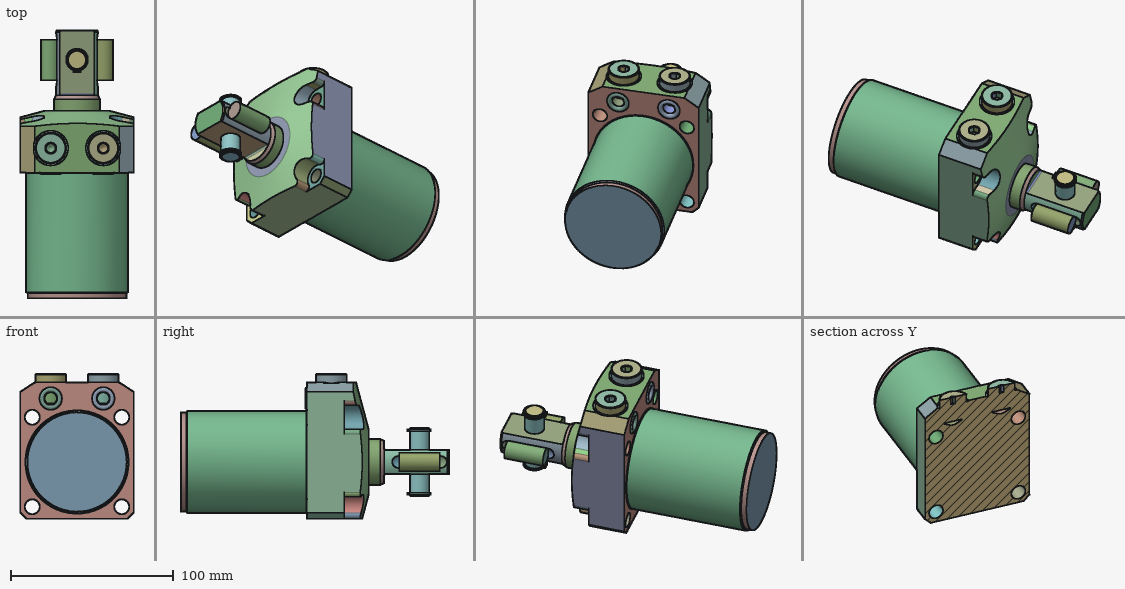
import cadquery as cq
import math


overall_length = 164.8

body_width = 70.0
body_height = 84.0
body_bottom = -body_width / 2
body_top = body_bottom + body_height
top_chamfer_width = 9.0
top_chamfer_height = 6.0
bottom_chamfer = 4.0

nose_y = 38.0
nose_radius = 19.8
nose_angle = 15.0

barrel_diameter = 63.0
barrel_length = 77.5
barrel_chamfer = 0.7
end_step_diameter = 61.0
end_step_length = 3.3
root_diameter = 63.6
root_length = 0.5

mount_offset = 27.5
mount_hole_diameter = 9.0
pocket_radius = body_width / 2 - mount_offset
pocket_floor_y = 23.0
pocket_mouth_radius = 2.6

port_x = 16.1
plug_y = 15.0
plug_head_diameter = 19.0
plug_head_height = 5.1
plug_chamfer = 0.5
plug_stem_length = 13.0
plug_stem_diameter = 13.2
spotface_diameter = 21.4
spotface_depth = 0.5
socket_width = 6.0
socket_chamfer = 0.5
socket_depth = 5.0
drill_point_angle = 120.0
port_z = 39.0
port_diameter = 8.2
ring_radius = 5.5
ring_section_radius = 1.6
ring_projection = 1.0

rod_radius = 13.0
rod_tip_y = overall_length - barrel_length
collar_radius = 14.2
collar_end_y = 45.0
shoulder_y = 47.5
flat_thickness = 15.0
flat_root_radius = 1.0
tip_chamfer_length = 1.0
tip_chamfer_depth = 0.5

pin_y = 69.2
pin_diameter = 12.0
pin_length = 42.0
pin_chamfer = 0.5
clip_radius = 6.8
clip_eccentricity = 0.2
clip_thickness = 1.0
clip_edge = 1.0
ear_width = 4.5
ear_reach = 7.5
ear_gap = 1.0
ear_hole_diameter = 0.8
ear_hole_x = 1.3
ear_hole_y = -6.8

roll_radius = 5.6
roll_x = 16.6
roll_length = 25.0


def cylinder_y(radius, y_start, y_end, x=0.0, z=0.0):
    """Cylinder along Y between two Y positions."""
    start = cq.Vector(x, y_start, z)
    return cq.Workplane(cq.Solid.makeCylinder(radius, y_end - y_start, start, cq.Vector(0, 1, 0)))


def cylinder_z(radius, z_start, z_end, x=0.0, y=0.0):
    """Cylinder along Z between two Z positions."""
    return cq.Workplane(cq.Solid.makeCylinder(radius, z_end - z_start, cq.Vector(x, y, z_start)))


def revolve_y(profile):
    """Solid of revolution about Y from (radius, y) points."""
    return cq.Workplane("XY").polyline(profile).close().revolve(360, (0, 0, 0), (0, 1, 0))


def extrude_y(points, y_start, y_end):
    """Prism along Y from (x, z) points."""
    plane = cq.Workplane("XZ", origin=(0, y_start, 0))
    return plane.polyline(points).close().extrude(y_start - y_end)


def make_block():
    """Chamfered block whose +Y end is turned to a flat-topped cone."""
    half = body_width / 2
    outline = [
        (-half + bottom_chamfer, body_bottom),
        (half - bottom_chamfer, body_bottom),
        (half, body_bottom + bottom_chamfer),
        (half, body_top - top_chamfer_height),
        (half - top_chamfer_width, body_top),
        (-half + top_chamfer_width, body_top),
        (-half, body_top - top_chamfer_height),
        (-half, body_bottom + bottom_chamfer),
    ]
    block = extrude_y(outline, 0, nose_y)
    reach = math.hypot(half, body_top)
    rim_y = nose_y - (reach - nose_radius) * math.tan(math.radians(nose_angle))
    envelope = revolve_y([(0, 0), (reach, 0), (reach, rim_y), (nose_radius, nose_y), (0, nose_y)])
    return block.intersect(envelope)


def make_barrel():
    """Barrel with a slight flare at its root and a stepped far end."""
    radius = barrel_diameter / 2
    end_radius = end_step_diameter / 2
    step_y = end_step_length - barrel_length
    return revolve_y([
        (0, -barrel_length),
        (end_radius, -barrel_length),
        (end_radius, step_y),
        (radius, step_y + barrel_chamfer),
        (radius, -root_length),
        (root_diameter / 2, 0),
        (0, 0),
    ])


def upper_pocket():
    """Slot that opens to the -X side with rounded mouth edges."""
    side = -body_width / 2
    mouth = pocket_radius + pocket_mouth_radius
    bend = pocket_mouth_radius * (1 - math.sqrt(0.5))
    return (
        cq.Workplane("XZ", origin=(0, pocket_floor_y, 0))
        .moveTo(side, mount_offset + mouth)
        .threePointArc(
            (side + bend, mount_offset + pocket_radius + bend),
            (side + pocket_mouth_radius, mount_offset + pocket_radius),
        )
        .lineTo(-mount_offset, mount_offset + pocket_radius)
        .threePointArc(
            (-mount_offset + pocket_radius, mount_offset),
            (-mount_offset, mount_offset - pocket_radius),
        )
        .lineTo(side + pocket_mouth_radius, mount_offset - pocket_radius)
        .threePointArc(
            (side + bend, mount_offset - pocket_radius - bend),
            (side, mount_offset - mouth),
        )
        .close()
        .extrude(pocket_floor_y - nose_y)
    )


def lower_pocket():
    """Round pocket that opens across the -X -Z corner, with rounded edges to both sides."""
    side = -body_width / 2
    spacing = pocket_radius + pocket_mouth_radius
    round_x = side + pocket_mouth_radius
    round_z = -mount_offset + math.sqrt(spacing**2 - (mount_offset + round_x) ** 2)
    touch_share = pocket_radius / spacing
    touch_x = -mount_offset + touch_share * (round_x + mount_offset)
    touch_z = -mount_offset + touch_share * (round_z + mount_offset)
    middle_x = (side + touch_x) / 2 - round_x
    middle_z = (round_z + touch_z) / 2 - round_z
    stretch = pocket_mouth_radius / math.hypot(middle_x, middle_z)
    middle_x = round_x + stretch * middle_x
    middle_z = round_z + stretch * middle_z
    inner = -mount_offset + pocket_radius * math.sqrt(0.5)
    return (
        cq.Workplane("XZ", origin=(0, pocket_floor_y, 0))
        .moveTo(side, round_z)
        .threePointArc((middle_x, middle_z), (touch_x, touch_z))
        .threePointArc((inner, inner), (touch_z, touch_x))
        .threePointArc((middle_z, middle_x), (round_z, side))
        .lineTo(side, side)
        .close()
        .extrude(pocket_floor_y - nose_y)
    )


def make_plug(x):
    """Screw plug with a chamfered hexagon socket over a drilled core."""
    top = body_top + plug_head_height
    head = cylinder_z(plug_head_diameter / 2, body_top - spotface_depth, top, x, plug_y)
    head = head.faces(">Z").chamfer(plug_chamfer)
    stem = cylinder_z(plug_stem_diameter / 2, body_top - plug_stem_length, body_top, x, plug_y)
    half_sector = 180 / 6
    corner_diameter = socket_width / math.cos(math.radians(half_sector))
    hexagon = (
        cq.Workplane("XY")
        .polygon(6, corner_diameter)
        .extrude(-socket_depth)
        .rotate((0, 0, 0), (0, 0, 1), half_sector)
        .translate((x, plug_y, top))
    )
    core = drilled_hole(socket_width / 2, top, socket_depth, x)
    rim_radius = socket_width / 2 + socket_chamfer
    rim_base = cq.Vector(x, plug_y, top - socket_chamfer)
    rim = cq.Solid.makeCone(socket_width / 2, rim_radius, socket_chamfer, rim_base)
    return head.union(stem).cut(hexagon).cut(core).cut(cq.Workplane(rim))


def drilled_hole(radius, top, depth, x):
    """Hole along -Z on the axis of a screw plug, ending in a drill point."""
    point = radius / math.tan(math.radians(drill_point_angle / 2))
    profile = [(0, top), (radius, top), (radius, top - depth), (0, top - depth - point)]
    hole = cq.Workplane("XZ").polyline(profile).close().revolve(360, (0, 0, 0), (0, 1, 0))
    return hole.translate((x, plug_y, 0))


def make_housing():
    """Block, barrel, screw plugs and O-rings as one body."""
    housing = make_block().union(make_barrel())
    pockets = upper_pocket().union(lower_pocket())
    housing = housing.cut(pockets).cut(pockets.mirror("YZ"))
    for x in (-mount_offset, mount_offset):
        for z in (-mount_offset, mount_offset):
            housing = housing.cut(cylinder_y(mount_hole_diameter / 2, 0, nose_y, x, z))
    for x in (-port_x, port_x):
        spotface = cylinder_z(spotface_diameter / 2, body_top - spotface_depth, body_top, x, plug_y)
        bore = drilled_hole(plug_stem_diameter / 2, body_top, plug_stem_length, x)
        port = cylinder_y(port_diameter / 2, 0, plug_y, x, port_z)
        ring_centre = cq.Vector(x, ring_section_radius - ring_projection, port_z)
        ring = cq.Solid.makeTorus(ring_radius, ring_section_radius, ring_centre, cq.Vector(0, 1, 0))
        housing = housing.cut(spotface).cut(bore).cut(port).union(cq.Workplane(ring)).union(make_plug(x))
    return housing


def make_rod():
    """Piston rod with a flattened head, round-ended roll seats and the cross pin hole."""
    rod = revolve_y([
        (0, nose_y),
        (collar_radius, nose_y),
        (collar_radius, collar_end_y),
        (rod_radius, shoulder_y),
        (rod_radius, rod_tip_y - tip_chamfer_length),
        (rod_radius - tip_chamfer_depth, rod_tip_y),
        (0, rod_tip_y),
    ])
    flat_length = rod_tip_y - shoulder_y
    cutter = (
        cq.Workplane("XY")
        .box(4 * rod_radius, 2 * flat_length, rod_radius, centered=(True, False, False))
        .edges("|X and <Y and <Z")
        .fillet(flat_root_radius)
        .translate((0, shoulder_y, flat_thickness / 2))
    )
    rod = rod.cut(cutter).cut(cutter.mirror("XY"))
    for x in (-roll_x, roll_x):
        seat = make_roll(x)
        for end in (-1, 1):
            ball = cq.Workplane("XY").sphere(roll_radius).translate((x, pin_y + end * roll_length / 2, 0))
            seat = seat.union(ball)
        rod = rod.cut(seat)
    return rod.cut(cylinder_z(pin_diameter / 2, -pin_length / 2, pin_length / 2, 0, pin_y))


def make_pin():
    """Cross pin along Z with an open retaining ring near each end."""
    pin = cylinder_z(pin_diameter / 2, -pin_length / 2, pin_length / 2, 0, pin_y)
    pin = pin.faces("<Z or >Z").chamfer(pin_chamfer)
    clip = cylinder_z(clip_radius, 0, clip_thickness, 0, clip_eccentricity)
    ears = cq.Workplane("XY").box(ear_width, ear_reach, clip_thickness, centered=(True, False, False))
    gap = cq.Workplane("XY").box(ear_gap, ear_reach, clip_thickness, centered=(True, False, False))
    clip = clip.union(ears.translate((0, -ear_reach, 0))).cut(gap.translate((0, -ear_reach, 0)))
    for x in (-ear_hole_x, ear_hole_x):
        clip = clip.cut(cylinder_z(ear_hole_diameter / 2, 0, clip_thickness, x, ear_hole_y))
    clip = clip.translate((0, pin_y, pin_length / 2 - clip_edge - clip_thickness))
    return pin.union(clip).union(clip.mirror("XY"))


def make_roll(x):
    """Side roll along Y, lying in its seat on the rod."""
    return cylinder_y(roll_radius, pin_y - roll_length / 2, pin_y + roll_length / 2, x)


housing = make_housing()
rod = make_rod()
pin = make_pin()
rolls = [make_roll(x) for x in (-roll_x, roll_x)]
result = cq.Compound.makeCompound([housing.val(), rod.val(), pin.val(), *[roll.val() for roll in rolls]])